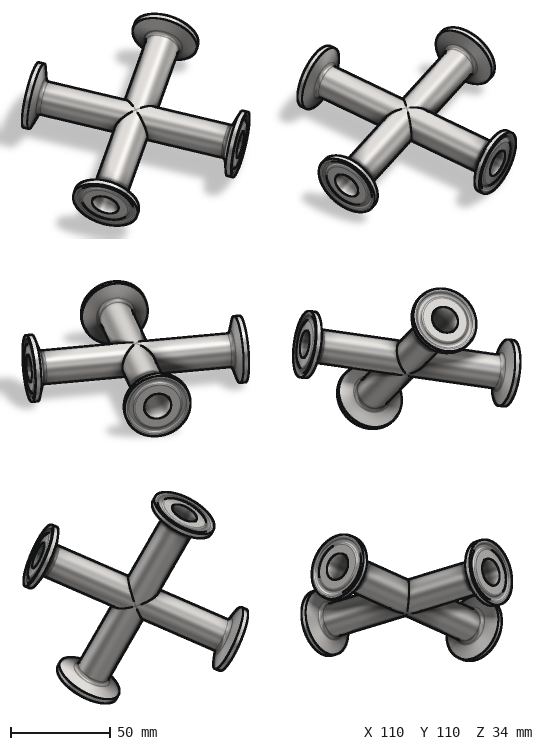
import cadquery as cq
import math

span = 110.0
half_span = span / 2
tube_radius = 17.3 / 2
bore_radius = 14.0 / 2

flange_radius = 34.0 / 2
rim_thickness = 2.9
cone_angle = 20.0
neck_fillet = 2.1

groove_center_radius = 13.8
groove_half_width = 2.0
lip_radius = 0.9
groove_bottom_radius = 1.4


def ferrule_arm():
    """Solid arm along +X, from the centre of the cross to its end face."""
    rim_back = half_span - rim_thickness
    cone_length = (flange_radius - tube_radius) * math.tan(math.radians(cone_angle))
    neck = rim_back - cone_length
    arm = (
        cq.Workplane("XY")
        .lineTo(0, tube_radius)
        .lineTo(neck, tube_radius)
        .lineTo(rim_back, flange_radius)
        .lineTo(half_span, flange_radius)
        .lineTo(half_span, 0)
        .close()
        .revolve(360, (0, 0, 0), (1, 0, 0))
    )
    neck_edge = cq.selectors.BoxSelector(
        (neck - neck_fillet / 2, -tube_radius, -tube_radius),
        (neck + neck_fillet / 2, tube_radius, tube_radius),
    )
    return arm.edges(neck_edge).fillet(neck_fillet)


def gasket_groove():
    """Ring to cut from the +X end face; its arcs meet tangentially."""
    radius_sum = lip_radius + groove_bottom_radius
    sweep = math.asin(groove_half_width / radius_sum)
    depth = radius_sum * (1 - math.cos(sweep))

    def lip_point(angle, side):
        x = half_span - lip_radius * (1 - math.cos(angle))
        offset = groove_half_width - lip_radius * math.sin(angle)
        return (x, groove_center_radius + side * offset)

    return (
        cq.Workplane("XY")
        .moveTo(*lip_point(0, 1))
        .threePointArc(lip_point(sweep / 2, 1), lip_point(sweep, 1))
        .threePointArc((half_span - depth, groove_center_radius), lip_point(sweep, -1))
        .threePointArc(lip_point(sweep / 2, -1), lip_point(0, -1))
        .close()
        .revolve(360, (0, 0, 0), (1, 0, 0))
    )


def through_bore(plane):
    """Straight bore through two opposite arms."""
    return cq.Workplane(plane).circle(bore_radius).extrude(half_span, both=True)


arm = ferrule_arm().cut(gasket_groove())
cross = arm
for angle in (90, 180, 270):
    cross = cross.union(arm.rotate((0, 0, 0), (0, 0, 1), angle))

result = cross.cut(through_bore("YZ")).cut(through_bore("XZ"))